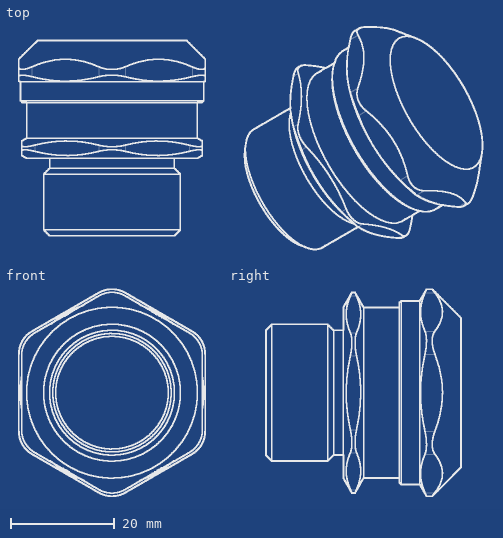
import cadquery as cq
import math

nut_front = 14.95
nut_back = 18.9
collar_front = 25.75
cap_front = 29.75
total_length = 37.75

thread_radius = 26.45 / 2
neck_radius = 24.15 / 2
thread_chamfer = thread_radius - neck_radius
neck_front = 13.1

recess_mouth_radius = 11.45
recess_floor_radius = 10.9
recess_depth = recess_mouth_radius - recess_floor_radius

body_radius = 33.0 / 2
collar_radius = 35.5 / 2
collar_chamfer = 0.4

cap_flats = 36.0
nut_flats = 34.95
corner_radius = 5.1
cap_end_radius = 14.4
hex_cone_slope = math.tan(math.radians(60))


def revolve_profile(points):
    """Revolve (radius, station) points about the Y axis."""
    return cq.Workplane("XY").polyline(points).close().revolve(360, (0, 0, 0), (0, 1, 0))


def rounded_hexagon(flats, front, back):
    """Hexagonal prism with corners on +Z and -Z, rounded along Y."""
    circumdiameter = flats / math.cos(math.radians(30))
    return (
        cq.Workplane("XZ", origin=(0, front, 0))
        .transformed(rotate=(0, 0, 90))
        .polygon(6, circumdiameter)
        .extrude(front - back)
        .edges("|Y")
        .fillet(corner_radius)
    )


def make_turned_body():
    return revolve_profile([
        (0, 0),
        (neck_radius, 0),
        (thread_radius, thread_chamfer),
        (thread_radius, neck_front - thread_chamfer),
        (neck_radius, neck_front),
        (neck_radius, nut_front),
        (body_radius, nut_front),
        (body_radius, collar_front),
        (collar_radius - collar_chamfer, collar_front),
        (collar_radius, collar_front + collar_chamfer),
        (collar_radius, cap_front),
        (0, cap_front),
    ])


def make_nut():
    """Thin hexagon with its corners turned down on both faces."""
    outer_radius = nut_flats / math.sqrt(3)
    cone_length = (outer_radius - body_radius) / hex_cone_slope
    envelope = revolve_profile([
        (0, nut_front),
        (body_radius, nut_front),
        (outer_radius, nut_front + cone_length),
        (outer_radius, nut_back - cone_length),
        (body_radius, nut_back),
        (0, nut_back),
    ])
    return rounded_hexagon(nut_flats, nut_front, nut_back).intersect(envelope)


def make_cap():
    """Large hexagon with a steep front cone and a long 45 degree back cone."""
    outer_radius = cap_flats / math.sqrt(3)
    front_cone_length = (outer_radius - collar_radius) / hex_cone_slope
    back_cone_length = outer_radius - cap_end_radius
    envelope = revolve_profile([
        (0, cap_front),
        (collar_radius, cap_front),
        (outer_radius, cap_front + front_cone_length),
        (outer_radius, total_length - back_cone_length),
        (cap_end_radius, total_length),
        (0, total_length),
    ])
    return rounded_hexagon(cap_flats, cap_front, total_length).intersect(envelope)


def make_recess():
    return revolve_profile([
        (0, 0),
        (recess_mouth_radius, 0),
        (recess_floor_radius, recess_depth),
        (0, recess_depth),
    ])


result = make_turned_body().union(make_nut()).union(make_cap()).cut(make_recess())